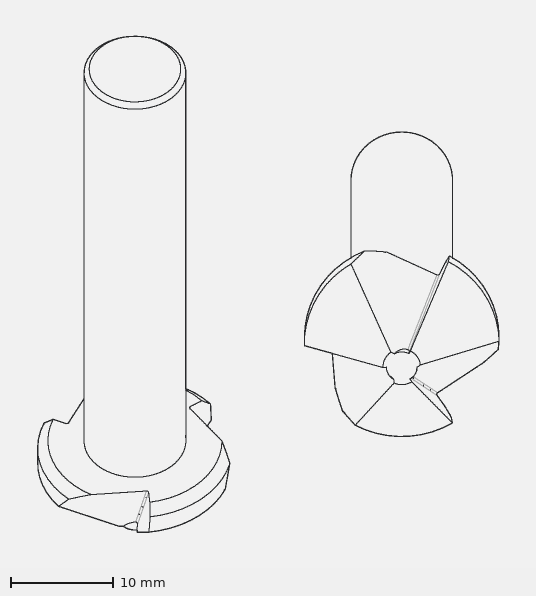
import cadquery as cq

total_length = 63.0
shank_radius = 5.0
shank_chamfer = 0.5
head_height = 10.95
head_radius = 9.5
head_chamfer = 1.0
cone_height = 7.8
tip_radius = 1.8

flute_count = 3
flute_depth_x = 6.9
tip_floor_x = 0.9
face_offset_top = 0.7
face_offset_tip = 0.05
root_fillet = 0.2
core_radius = 1.5
cutter_reach = 25.2
cutter_overrun = 0.6


def make_shank():
    """Plain round shank with a chamfered free end, standing on the head."""
    return (
        cq.Workplane("XY", origin=(0, 0, head_height))
        .circle(shank_radius)
        .extrude(total_length - head_height)
        .faces(">Z")
        .chamfer(shank_chamfer)
    )


def make_head_blank():
    """Revolved head: cutting cone, short cylindrical land and top chamfer."""
    return (
        cq.Workplane("XZ")
        .polyline([
            (0, 0),
            (tip_radius, 0),
            (head_radius, cone_height),
            (head_radius, head_height - head_chamfer),
            (head_radius - head_chamfer, head_height),
            (0, head_height),
        ])
        .close()
        .revolve(360, (0, 0), (0, 1))
    )


def flute_root(z):
    """Corner between the flute floor and the cutting face at height z."""
    fraction = z / head_height
    x = -(tip_floor_x + fraction * (flute_depth_x - tip_floor_x))
    y = -(face_offset_tip + fraction * (face_offset_top - face_offset_tip))
    return x, y


def make_flute_cutter():
    """Wedge whose rounded corner follows the sloping flute root."""
    bottom = -cutter_overrun
    height = head_height + 2 * cutter_overrun
    low_x, low_y = flute_root(bottom)
    high_x, high_y = flute_root(bottom + height)
    half_reach = cutter_reach / 2
    return (
        cq.Workplane("XY", origin=(0, 0, bottom))
        .center(low_x - half_reach, low_y + half_reach)
        .rect(cutter_reach, cutter_reach)
        .workplane(offset=height)
        .center(high_x - low_x, high_y - low_y)
        .rect(cutter_reach, cutter_reach)
        .loft(ruled=True)
        .faces(">X").edges("<Y")
        .fillet(root_fillet)
    )


def make_head():
    """Head blank with equally spaced flutes around a slim round core."""
    head = make_head_blank()
    core = cq.Workplane("XY").circle(core_radius).extrude(head_height)
    cutter = make_flute_cutter().cut(core)
    for index in range(flute_count):
        angle = index * 360 / flute_count
        head = head.cut(cutter.rotate((0, 0, 0), (0, 0, 1), angle))
    return head


shank = make_shank()
head = make_head()
result = cq.Compound.makeCompound([shank.val(), head.val()])